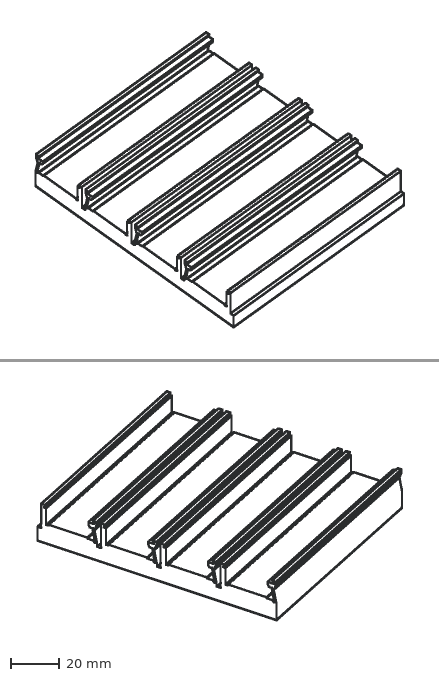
import cadquery as cq

cell_count = 4
cell_pitch = 29.0
panel_length = 100.0

groove_floor = 6.8
stem_foot = 8.4
channel_floor = 9.3
tray_top = 9.7
stem_head = 14.6
catch_bottom = 15.2
nose_bottom = 16.5
ledge = 17.5
rim_top = 18.9

stem_head_left = 1.3
stem_thickness = 1.0
clip_left = 0.2
catch_bottom_right = 3.6
catch_right = 4.3
rim_width = 1.9
rim_undercut = 0.6
root_chamfer = 0.9

tray_left = 4.8
tray_right = 23.7

wall_left = 24.7
wall_right = 27.1

clip_rim_right = clip_left + rim_width
clip_neck_right = clip_rim_right - rim_undercut
wall_rim_left = wall_right - rim_width
wall_neck_left = wall_rim_left + rim_undercut
stem_head_right = stem_head_left + stem_thickness


def clip_contour():
    """Points up the outside of the clip, over its catch and down to the channel."""
    return [
        (0, stem_foot),
        (stem_head_left, stem_head),
        (clip_left, ledge),
        (clip_left, rim_top),
        (clip_rim_right, rim_top),
        (clip_neck_right, ledge),
        (catch_right, ledge),
        (catch_right, nose_bottom),
        (catch_bottom_right, catch_bottom),
        (stem_head_right, catch_bottom),
        (stem_thickness, stem_foot),
        (stem_thickness + root_chamfer, channel_floor),
    ]


def tray_contour():
    """Points along the raised tray between its two channels."""
    return [
        (tray_left, channel_floor),
        (tray_left, tray_top),
        (tray_right, tray_top),
        (tray_right, channel_floor),
    ]


def wall_contour():
    """Points up the wall, over its rim and down into the groove behind it."""
    return [
        (wall_left, channel_floor),
        (wall_left, ledge),
        (wall_neck_left, ledge),
        (wall_rim_left, rim_top),
        (wall_right, rim_top),
        (wall_right, groove_floor),
        (cell_pitch, groove_floor),
    ]


cell_contour = clip_contour() + tray_contour() + wall_contour()
section = [(0, 0)]
for cell in range(cell_count):
    section += [(cell * cell_pitch + x, z) for x, z in cell_contour]
section.append((cell_count * cell_pitch, 0))

result = cq.Workplane("XZ").polyline(section).close().extrude(-panel_length)